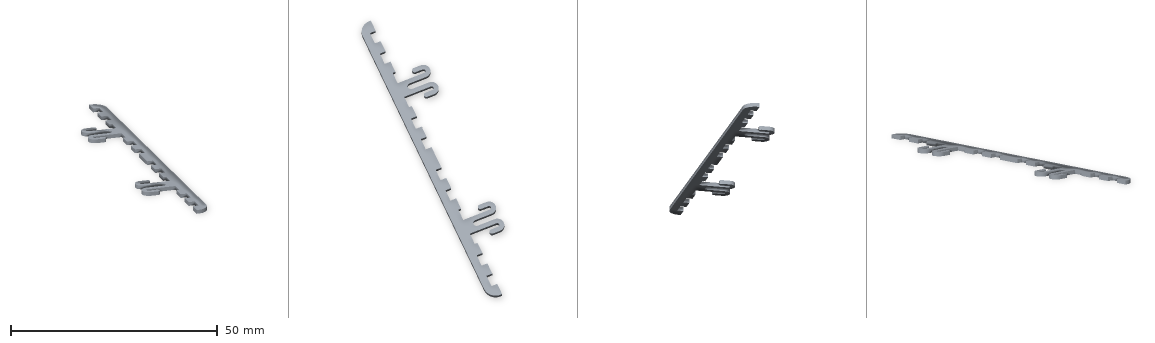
import cadquery as cq

length = 80.0
total_depth = 11.4
thickness = 1.0
plate_depth = 3.4

notch_pitch = 6.0
notch_width = notch_pitch / 2
deep_notch = 1.5
shallow_notch = 0.7
deep_notches_per_side = 2
end_radius = notch_width

hook_centers = (-length / 4, length / 4)
stem_width = 4.0
leg_width = 1.2
hook_gap = notch_width / 3
slot_top_depth = 4.6
hook_tip_depth = 7.3

stem_half = stem_width / 2
slot_half = stem_half - leg_width
tip_inner = stem_half + hook_gap
tip_outer = tip_inner + leg_width
bend_x = stem_half + hook_gap / 2
bend_inner_radius = hook_gap / 2
bend_outer_radius = bend_inner_radius + leg_width
bend_y = bend_outer_radius - total_depth
tip_radius = leg_width / 2


def make_plate():
    """Flat strip with both outer corners rounded on its straight edge."""
    strip = cq.Workplane("XY").box(length, plate_depth, thickness, centered=(True, True, False))
    return strip.translate((0, -plate_depth / 2, 0)).edges("|Z and >Y").fillet(end_radius)


def make_notch(center_x, depth):
    """Rectangular cutter reaching into the plate from its lower edge."""
    cutter = cq.Workplane("XY").box(notch_width, depth, thickness, centered=(True, False, False))
    return cutter.translate((center_x, -plate_depth, 0))


def make_hook(center_x, side):
    """Half of a hook pair: a leg beside the slot, a U bend and a round tip."""

    def at(x, y):
        return (center_x + side * x, y)

    slot_shoulder_y = -slot_top_depth - slot_half
    tip_shoulder_y = -hook_tip_depth - tip_radius
    slot_mid = slot_half * 0.5**0.5
    return (
        cq.Workplane("XY")
        .moveTo(*at(0, -plate_depth + shallow_notch))
        .lineTo(*at(stem_half, -plate_depth + shallow_notch))
        .lineTo(*at(stem_half, bend_y))
        .threePointArc(at(bend_x, bend_y - bend_inner_radius), at(tip_inner, bend_y))
        .lineTo(*at(tip_inner, tip_shoulder_y))
        .threePointArc(at(tip_inner + tip_radius, -hook_tip_depth), at(tip_outer, tip_shoulder_y))
        .lineTo(*at(tip_outer, bend_y))
        .threePointArc(at(bend_x, -total_depth), at(slot_half, bend_y))
        .lineTo(*at(slot_half, slot_shoulder_y))
        .threePointArc(at(slot_mid, slot_shoulder_y + slot_mid), at(0, -slot_top_depth))
        .close()
        .extrude(thickness)
    )


result = make_plate()
first_notch_offset = stem_half + notch_width / 2

for hook_center in hook_centers:
    for side in (-1, 1):
        for index in range(deep_notches_per_side + 1):
            offset = first_notch_offset + index * notch_pitch
            depth = shallow_notch if index == 0 else deep_notch
            result = result.cut(make_notch(hook_center + side * offset, depth))

for hook_center in hook_centers:
    for side in (-1, 1):
        result = result.union(make_hook(hook_center, side))

result = result.clean()